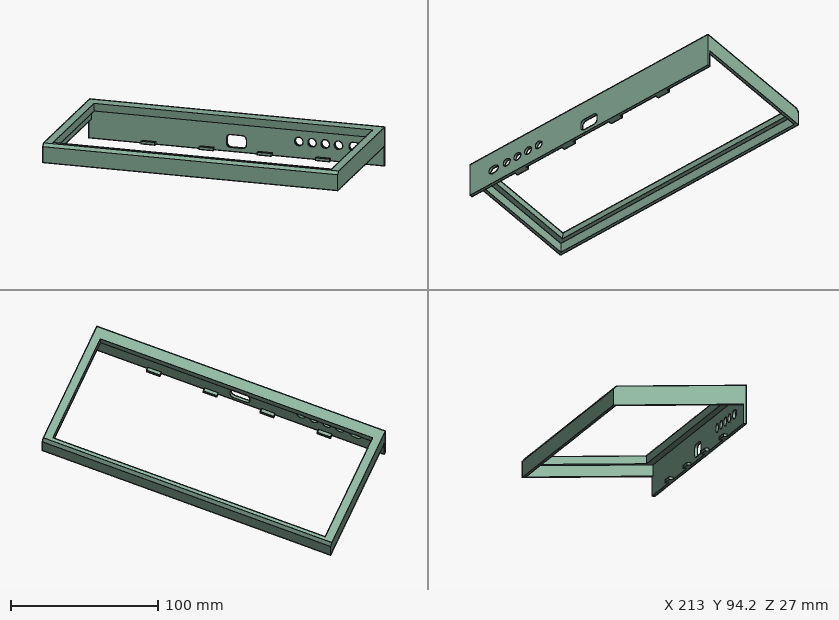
import cadquery as cq
import math

length = 213.03
depth = 94.24
height = 27.01
rear_y = depth / 2
front_y = -rear_y
top_z = height / 2
base_z = -top_z

tilt_degrees = 4.55
slope = math.tan(math.radians(tilt_degrees))
frame_height = 13.25
chamfer_run = 2.0
chamfer_foot_z = base_z + 17.5

window_length = 201.0
window_rear_margin = 8.05
window_front_margin = 4.5

bezel_thickness = 5.5
wall = 2.1

tab_count = 4
tab_pitch = 42.0
tab_length = 10.0
tab_reach = 2.6
tab_height = 1.9

port_x = 0.0
port_length = 14.4
port_height = 9.0
port_corner_radius = 3.0
port_z = base_z + 2.8 + port_height / 2

hole_count = 4
hole_diameter = 6.0
hole_pitch = 9.53
first_hole_x = 45.05
hole_z = base_z + 11.5
slot_x = 85.4
slot_length = 8.3


def top_surface_z(y):
    """Height of the sloping top surface at depth position y."""
    return top_z - (rear_y - y) * slope


def extrude_along_x(outline, x_length):
    """Extrude a (y, z) outline along X, centred on X = 0."""
    return cq.Workplane("YZ").polyline(outline).close().extrude(x_length / 2, both=True)


def box_on_base(x_center, y_front, size_x, size_y, size_z):
    """Box standing on the base level, with its front face at y_front."""
    box = cq.Workplane("XY").box(size_x, size_y, size_z, centered=(True, False, False))
    return box.translate((x_center, y_front, base_z))


def rear_wall_plane(x, z):
    """Workplane on the outer rear face; extruding from it runs toward the front."""
    return cq.Workplane("XZ", origin=(x, rear_y, z))


def make_frame():
    """Solid wedge-shaped bar block with a chamfered top front edge."""
    chamfer_y = front_y + chamfer_run
    outline = [
        (rear_y, top_z),
        (chamfer_y, top_surface_z(chamfer_y)),
        (front_y, chamfer_foot_z),
        (front_y, top_surface_z(front_y) - frame_height),
        (rear_y, top_z - frame_height),
    ]
    return extrude_along_x(outline, length)


def make_hollow():
    """Space below the bezel plate, open downwards."""
    inner_rear = rear_y - wall
    inner_front = front_y + wall
    outline = [
        (inner_rear, top_surface_z(inner_rear) - bezel_thickness),
        (inner_rear, base_z),
        (inner_front, base_z),
        (inner_front, top_surface_z(inner_front) - bezel_thickness),
    ]
    return extrude_along_x(outline, length - 2 * wall)


def make_window():
    """Prism, square to the sloping top, that passes through the bezel plate."""
    rear_edge = rear_y - window_rear_margin
    front_edge = front_y + window_front_margin
    reach = height
    lean = reach * slope
    outline = [
        (rear_edge - lean, top_surface_z(rear_edge) + reach),
        (rear_edge + lean, top_surface_z(rear_edge) - reach),
        (front_edge + lean, top_surface_z(front_edge) - reach),
        (front_edge - lean, top_surface_z(front_edge) + reach),
    ]
    return extrude_along_x(outline, window_length)


def make_rear_wall():
    """Full-length wall from the base up into the bezel plate."""
    return box_on_base(0, rear_y - wall, length, wall, height - bezel_thickness)


def make_tab(x):
    """Clip tab at the foot of the rear wall, pointing to the front."""
    tab_depth = tab_reach + wall
    return box_on_base(x, rear_y - tab_depth, tab_length, tab_depth, tab_height)


def make_port():
    block = rear_wall_plane(port_x, port_z).rect(port_length, port_height).extrude(wall)
    return block.edges("|Y").fillet(port_corner_radius)


def make_hole(x):
    return rear_wall_plane(x, hole_z).circle(hole_diameter / 2).extrude(wall)


def make_slot():
    return rear_wall_plane(slot_x, hole_z).slot2D(slot_length, hole_diameter).extrude(wall)


part = make_frame().cut(make_hollow()).cut(make_window())
part = part.union(make_rear_wall())

for index in range(tab_count):
    tab_x = (index - (tab_count - 1) / 2) * tab_pitch
    part = part.union(make_tab(tab_x))

part = part.cut(make_port())
for index in range(hole_count):
    part = part.cut(make_hole(first_hole_x + index * hole_pitch))
part = part.cut(make_slot())

result = part